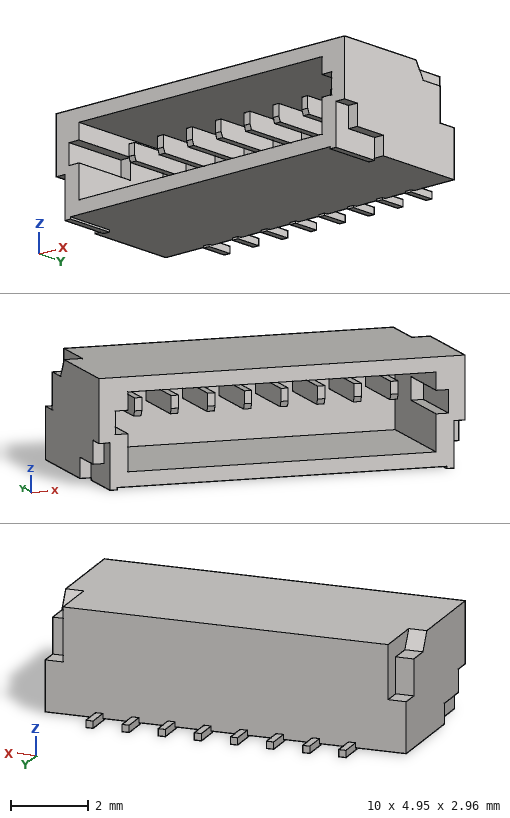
import cadquery as cq

body_width = 10.0
body_depth = 4.25
total_height = 2.96
standoff = 0.06

wall_side = 0.79
wall_top = 0.4
wall_bottom = 0.4
wall_rear = 1.0
cavity_width = body_width - 2 * wall_side
cavity_depth = body_depth - wall_rear
cavity_bottom = standoff + wall_bottom
cavity_height = total_height - wall_top - cavity_bottom

groove_wall = 0.45
groove_bottom = 1.46
groove_height = 0.62
groove_depth = 2.0

rear_notch_width = 0.5
rear_notch_bottom = 1.47
rear_notch_step = 0.54
rear_notch_shelf = 2.47
rear_notch_shelf_end = 1.2
rear_notch_top_end = 1.48

tab_inset = 0.3
tab_thickness = 0.2
tab_height = 1.25
tab_upright = 0.49
tab_foot_height = 0.62
tab_foot_length = 1.5

pin_count = 8
pin_pitch = 1.0
pin_width = 0.2
pin_bottom = 1.65
pin_height = 0.49
pin_length = 2.0
pin_chamfer_height = 0.15
pin_chamfer_length = 0.06
tail_thickness = 0.2
tail_length = 0.7
tail_overlap = 0.11


def block(x_start, x_size, y_start, y_size, z_start, z_size):
    """Box placed by its minimum corner."""
    return cq.Workplane("XY").box(x_size, y_size, z_size, centered=False).translate((x_start, y_start, z_start))


def side_profile(points, x_start, thickness):
    """Outline of (Y, Z) points extruded along +X from x_start."""
    return cq.Workplane("YZ").workplane(offset=x_start).polyline(points).close().extrude(thickness)


def on_both_ends(shape):
    """Shape together with its mirror image across the X = 0 plane."""
    return shape.union(shape.mirror("YZ"))


def make_cavity():
    main = block(-cavity_width / 2, cavity_width, 0, cavity_depth, cavity_bottom, cavity_height)
    groove_span = body_width - 2 * groove_wall
    grooves = block(-groove_span / 2, groove_span, 0, groove_depth, groove_bottom, groove_height)
    return main.union(grooves)


def make_rear_notches():
    outline = [
        (body_depth, rear_notch_bottom),
        (body_depth - rear_notch_step, rear_notch_bottom),
        (body_depth - rear_notch_step, rear_notch_shelf),
        (body_depth - rear_notch_shelf_end, rear_notch_shelf),
        (body_depth - rear_notch_top_end, total_height),
        (body_depth, total_height),
    ]
    return on_both_ends(side_profile(outline, -body_width / 2, rear_notch_width))


def stepped_tab(x_start, thickness):
    outline = [
        (0, 0),
        (tab_foot_length, 0),
        (tab_foot_length, tab_foot_height),
        (tab_upright, tab_foot_height),
        (tab_upright, tab_height),
        (0, tab_height),
    ]
    return on_both_ends(side_profile(outline, x_start, thickness))


def make_contact(x_center):
    x_start = x_center - pin_width / 2
    tip = cavity_depth - pin_length
    pin_outline = [
        (cavity_depth, pin_bottom),
        (tip + pin_chamfer_length, pin_bottom),
        (tip, pin_bottom + pin_chamfer_height),
        (tip, pin_bottom + pin_height),
        (cavity_depth, pin_bottom + pin_height),
    ]
    pin = side_profile(pin_outline, x_start, pin_width)
    tail = block(x_start, pin_width, body_depth - tail_overlap, tail_length + tail_overlap, 0, tail_thickness)
    return pin.union(tail)


housing = block(-body_width / 2, body_width, 0, body_depth, standoff, total_height - standoff)
housing = housing.cut(make_cavity()).cut(make_rear_notches())
housing = housing.cut(stepped_tab(-body_width / 2, tab_inset))

result = housing.union(stepped_tab(-body_width / 2 + tab_inset, tab_thickness))
for index in range(pin_count):
    result = result.union(make_contact((index - (pin_count - 1) / 2) * pin_pitch))